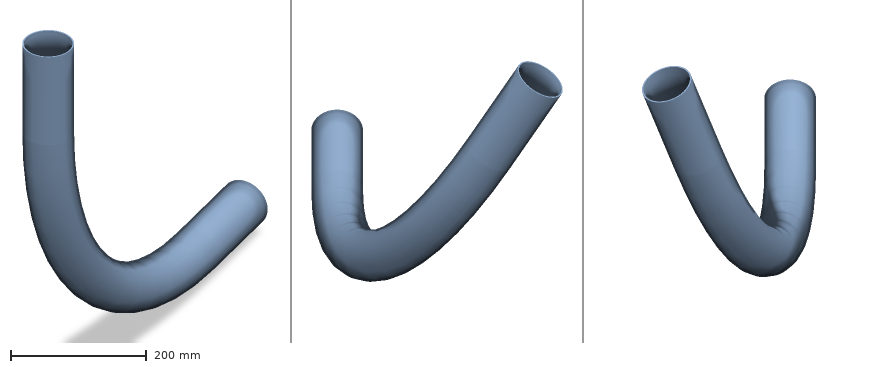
import cadquery as cq

overall_size = 648.0
outer_diameter = 76.5
inner_diameter = 72.0
straight_length = 153.0

bend_radius = overall_size - outer_diameter / 2 - straight_length
leg_reach = bend_radius + straight_length

centreline = (
    cq.Workplane("YZ")
    .moveTo(leg_reach, 0)
    .lineTo(bend_radius, 0)
    .radiusArc((0, bend_radius), bend_radius)
    .lineTo(0, leg_reach)
)

result = (
    cq.Workplane("XZ", origin=(0, leg_reach, 0))
    .circle(outer_diameter / 2)
    .circle(inner_diameter / 2)
    .sweep(centreline)
)